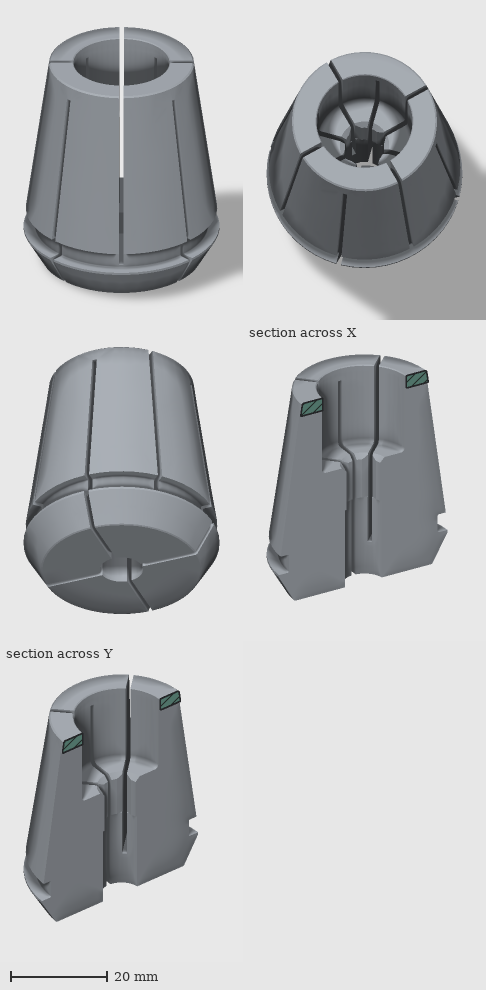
import cadquery as cq
import math

length = 46.0
flange_radius = 20.4

flange_top = 7.0
rim_height = 0.5
flange_cone_angle = 30.0
bottom_bevel = 0.2

neck_radius = 18.0
neck_top = 11.2
neck_fillet = 0.25

taper_base_radius = 19.95
taper_angle = 8.0
top_bevel = 0.3

bore_radius = 10.0
bore_floor = 28.0
bore_floor_fillet = 0.9
bore_mouth_bevel = 0.2
square_width = 7.5
square_length = 10.0
square_clearance_radius = 4.1
seat_mouth_radius = 5.15
shank_radius = 4.5

slot_width = 1.0
slot_top = 43.0
slot_floor = 7.5
slot_span = 3 * flange_radius

rim_bottom = flange_top - rim_height
foot_radius = flange_radius - rim_bottom * math.tan(math.radians(flange_cone_angle))
taper_top_radius = taper_base_radius - (length - neck_top) * math.tan(math.radians(taper_angle))
square_bottom = bore_floor - square_length


def cylinder(radius, bottom, top):
    return cq.Workplane("XY").workplane(offset=bottom).circle(radius).extrude(top - bottom)


def cone(bottom_radius, top_radius, bottom, top):
    """Frustum about the Z axis."""
    profile = [(0, bottom), (bottom_radius, bottom), (top_radius, top), (0, top)]
    return cq.Workplane("XZ").polyline(profile).close().revolve(360, (0, 0, 0), (0, 1, 0))


def outer_body():
    """Flange, neck and tapered body, turned about the Z axis."""
    flange = cone(foot_radius, flange_radius, 0, rim_bottom).faces("<Z").chamfer(bottom_bevel)
    rim = cylinder(flange_radius, rim_bottom, flange_top)
    taper = cone(taper_base_radius, taper_top_radius, neck_top, length).faces(">Z").chamfer(top_bevel)
    return flange.union(rim).union(neck()).union(taper)


def neck():
    """Cylinder that flares out through a small fillet at each end."""
    flare_radius = neck_radius + neck_fillet
    outline = (
        cq.Workplane("XZ")
        .moveTo(0, flange_top)
        .lineTo(flare_radius, flange_top)
        .radiusArc((neck_radius, flange_top + neck_fillet), neck_fillet)
        .lineTo(neck_radius, neck_top - neck_fillet)
        .radiusArc((flare_radius, neck_top), neck_fillet)
        .lineTo(0, neck_top)
        .close()
    )
    return outline.revolve(360, (0, 0, 0), (0, 1, 0))


def relief_bore():
    """Wide bore from the top, with a bevelled mouth and a rounded floor corner."""
    bore = cylinder(bore_radius, bore_floor, length).faces("<Z").edges().fillet(bore_floor_fillet)
    mouth = cone(bore_radius, bore_radius + bore_mouth_bevel, length - bore_mouth_bevel, length)
    return bore.union(mouth)


def drive_seat():
    """Square seat with a round clearance, countersunk where it opens into the relief bore."""
    square = (
        cq.Workplane("XY")
        .workplane(offset=square_bottom)
        .rect(square_width, square_width)
        .extrude(square_length)
    )
    clearance = cylinder(square_clearance_radius, square_bottom, bore_floor)
    countersink_depth = seat_mouth_radius - square_clearance_radius
    countersink = cone(
        square_clearance_radius, seat_mouth_radius, bore_floor - countersink_depth, bore_floor
    )
    return square.union(clearance).union(countersink)


def cross_slots(bottom, top, turn):
    """Two perpendicular slots through the axis, turned about Z by the given angle."""
    middle = (bottom + top) / 2
    slots = cq.Workplane("XY")
    for angle in (turn, turn + 90):
        slot = cq.Workplane("XY").box(slot_span, slot_width, top - bottom)
        slots = slots.union(slot.rotate((0, 0, 0), (0, 0, 1), angle).translate((0, 0, middle)))
    return slots


result = (
    outer_body()
    .cut(relief_bore())
    .cut(drive_seat())
    .cut(cylinder(shank_radius, 0, square_bottom))
    .cut(cross_slots(0, slot_top, 0))
    .cut(cross_slots(slot_floor, length, 45))
)